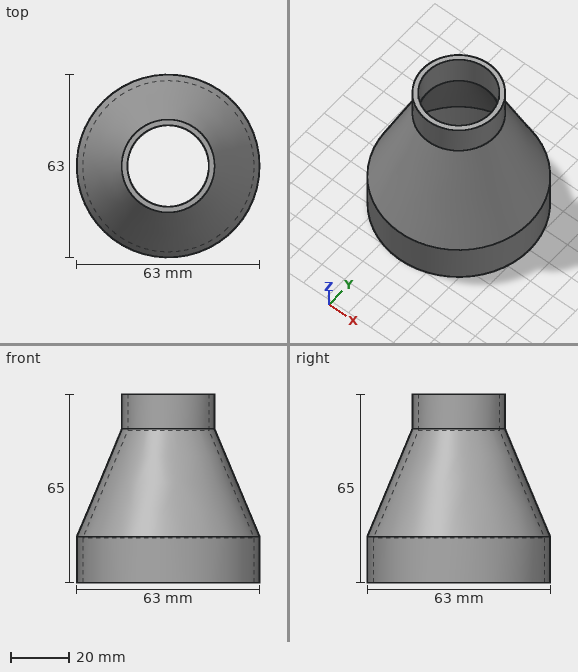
import cadquery as cq
import math

total_height = 65.0
base_radius = 63.0 / 2
base_height = 16.0
neck_radius = 32.0 / 2
neck_height = 12.0
wall = 2.0

cone_bottom = base_height
cone_top = total_height - neck_height

cone_half_angle = math.atan2(base_radius - neck_radius, cone_top - cone_bottom)
edge_drop = wall * math.tan(cone_half_angle / 2)


def reducer_body(large_radius, small_radius, lower_edge, upper_edge):
    """Solid of revolution about Z: cylinder, cone, then smaller cylinder."""
    return (
        cq.Workplane("XZ")
        .moveTo(0, 0)
        .lineTo(large_radius, 0)
        .lineTo(large_radius, lower_edge)
        .lineTo(small_radius, upper_edge)
        .lineTo(small_radius, total_height)
        .lineTo(0, total_height)
        .close()
        .revolve(360, (0, 0, 0), (0, 1, 0))
    )


outer = reducer_body(base_radius, neck_radius, cone_bottom, cone_top)
bore = reducer_body(
    base_radius - wall,
    neck_radius - wall,
    cone_bottom - edge_drop,
    cone_top - edge_drop,
)

result = outer.cut(bore)